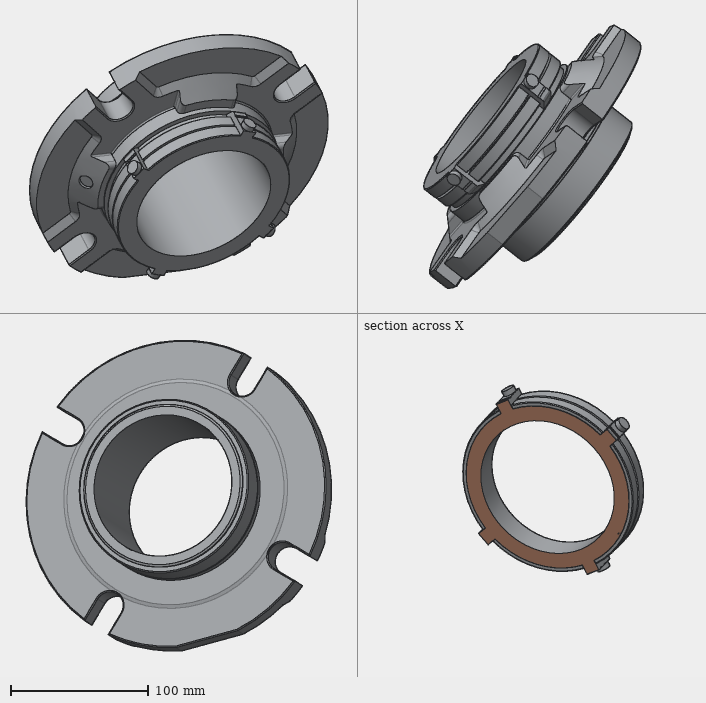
import cadquery as cq
import math


cutter_reach = 228.2
plane_tolerance = 0.02

bore_dia = 104.7
tip_dia = 120.7
tip_length = 2.0
tip_chamfer = 1.5
tip_chamfer_length = 0.7
sleeve_dia = 129.0
sleeve_chamfer = 1.0
snap_groove_dia = 125.7
snap_groove_start = 25.5
snap_groove_width = 1.8

flange_dia = 228.2
flange_front = 33.8
flange_thickness = 15.3
flange_back = flange_front + flange_thickness
flange_chamfer = 1.0
raised_face_dia = 170.2
raised_face_inner_dia = 165.0
raised_face_height = 0.7
rim_flat_angle = 167.9
rim_flat_span = 24.2

slot_count = 4
slot_pitch = 360 / slot_count
first_slot_angle = 32.2
slot_width = 21.0
slot_cap_radius = slot_width / 2
slot_center_radius = 95.2
slot_chamfer = 1.0
chamfer_angle = 45

platform_height = 5.2
platform_back = flange_back + platform_height
hub_radius = 89.5
pad_width = 59.8
pad_corner_radius = 1.8

body_dia = 136.0
body_back = 66.9
foot_fillet = 1.1
lug_angles = [first_slot_angle + (index - 0.5) * slot_pitch for index in range(slot_count)]
lug_width = 45.6
lug_back = 66.0
short_lug_back = 63.0
lug_corner_radius = 3.9
short_lug_index = 0
port_lug_index = 1
port_dia = 11.0
port_depth = 2.3
port_x = 57.7

neck_dia = 128.5
front_ring_dia = 134.5
back_ring_dia = 134.9
collar_front = 71.7
collar_back = 92.6
collar_chamfer = 0.7
collar_groove_dia = 122.5
collar_groove_start = 81.0
collar_groove_width = 1.8

clip_angles = (45, 150, 225, 330)
clip_width = 11.0
clip_outer_radius = 71.9
clip_root_radius = 61.5
clip_nose_start = 71.2
clip_nose_radius = 1.8
clip_groove_start = 75.5
clip_groove_width = 1.5
clip_groove_depth = 0.5
screw_dia = 10.0
screw_x = collar_back - screw_dia / 2
screw_outer_radius = 76.0


def turn(shape, angle):
    """Rotate a shape made at the +Z direction to its angle around the part axis."""
    return shape.rotate((0, 0, 0), (1, 0, 0), angle)


def tube(start, end, dia):
    """Solid cylinder on the part axis between two X positions."""
    return cq.Workplane("YZ").workplane(offset=start).circle(dia / 2).extrude(end - start)


def ring_groove(start, width, floor_dia):
    """Cutter for a square groove around the part axis."""
    outer = tube(start, start + width, 2 * cutter_reach)
    return outer.cut(tube(start, start + width, floor_dia))


def make_sleeve():
    tip = tube(0, tip_length, tip_dia).faces("<X").chamfer(tip_chamfer_length, tip_chamfer)
    barrel = tube(tip_length, flange_front, sleeve_dia).faces("<X").chamfer(sleeve_chamfer)
    groove = ring_groove(snap_groove_start, snap_groove_width, snap_groove_dia)
    return tip.union(barrel).cut(groove)


def make_rim_envelope():
    """Outline that trims the flange and its pads: a chamfered cylinder with one flat on the rim."""
    envelope = tube(flange_front, collar_back, flange_dia)
    flat_distance = flange_dia / 2 * math.cos(math.radians(rim_flat_span / 2))
    flat_cutter = (
        cq.Workplane("XY")
        .workplane(offset=flat_distance)
        .rect(2 * cutter_reach, flange_dia)
        .extrude(cutter_reach)
    )
    envelope = envelope.cut(turn(flat_cutter, rim_flat_angle))
    return envelope.faces("<X").chamfer(flange_chamfer)


def make_raised_face():
    edge_run = (raised_face_dia - raised_face_inner_dia) / 2
    face = tube(flange_front - raised_face_height, flange_back, raised_face_dia)
    return face.faces("<X").chamfer(raised_face_height, edge_run)


def make_lug_block(back):
    """Block at +Z that bounds one lug, with rounded back corners."""
    length = back - platform_back
    return (
        cq.Workplane("XY")
        .center(platform_back + length / 2, 0)
        .rect(length, lug_width)
        .extrude(hub_radius)
        .edges("|Z and >X")
        .fillet(lug_corner_radius)
    )


def make_hub():
    """Hub, pads and lugs: one bevelled prism sunk into the flange.

    Between the lugs it is cut back to the platform face.
    """
    base = (flange_front + flange_back) / 2
    prism = tube(base, lug_back, 2 * hub_radius)
    pad_bar = (
        cq.Workplane("YZ", origin=(base, 0, 0))
        .rect(pad_width, 2 * cutter_reach)
        .extrude(lug_back - base)
    )
    for index in range(slot_count // 2):
        prism = prism.union(turn(pad_bar, first_slot_angle + index * slot_pitch))
    inner_corners = cq.selectors.BoxSelector(
        (0, -flange_dia / 2, -flange_dia / 2), (collar_back, flange_dia / 2, flange_dia / 2)
    )
    prism = prism.edges("|X").edges(inner_corners).fillet(pad_corner_radius)
    prism = prism.faces(">X").chamfer(lug_back - flange_back)

    waste = tube(platform_back, collar_back, 3 * cutter_reach)
    for index, lug_angle in enumerate(lug_angles):
        block = make_lug_block(short_lug_back if index == short_lug_index else lug_back)
        waste = waste.cut(turn(block, lug_angle))
    return prism.cut(waste)


def make_slot_cutter():
    """Bolt slot at +Z, widened at both faces by the edge chamfers."""

    def slot_outline(x_position, half_width):
        return (
            cq.Workplane("YZ", origin=(x_position, 0, 0))
            .moveTo(-half_width, cutter_reach)
            .lineTo(-half_width, slot_center_radius)
            .threePointArc((0, slot_center_radius - half_width), (half_width, slot_center_radius))
            .lineTo(half_width, cutter_reach)
            .close()
        )

    wide = slot_cap_radius + slot_chamfer
    front = flange_front - raised_face_height
    cutter = slot_outline(front, slot_cap_radius).extrude(platform_back - front)
    front_chamfer = slot_outline(flange_front, wide).extrude(slot_chamfer, taper=chamfer_angle)
    back_chamfer = slot_outline(platform_back, wide).extrude(-slot_chamfer, taper=chamfer_angle)
    return cutter.union(front_chamfer).union(back_chamfer)


def add_body(hub):
    """Join the gland body to the hub and fillet the feet of the body and the lugs."""
    joined = hub.union(tube(flange_front, body_back, body_dia))
    platform_edges = joined.edges(
        cq.selectors.BoxSelector(
            (platform_back - plane_tolerance, -hub_radius, -hub_radius),
            (platform_back + plane_tolerance, hub_radius, hub_radius),
        )
    )
    rim_limit = hub_radius - platform_height - 2 * foot_fillet
    feet = platform_edges.filter(lambda edge: math.hypot(edge.Center().y, edge.Center().z) < rim_limit)
    return feet.fillet(foot_fillet)


def make_port():
    """Blind port at +Z, drilled square to the cone of its lug."""
    mouth = cq.Vector(port_x, 0, hub_radius - (port_x - flange_back))
    outward = cq.Vector(1, 0, 1).normalized()
    drill = cq.Solid.makeCylinder(port_dia / 2, 2 * port_depth, mouth - outward * port_depth, outward)
    return cq.Workplane(drill)


def make_collar():
    neck = tube(body_back, collar_back, neck_dia)
    front_ring = tube(collar_front, collar_groove_start, front_ring_dia).faces("<X").chamfer(collar_chamfer)
    back_ring = tube(collar_groove_start, collar_back, back_ring_dia).faces(">X").chamfer(collar_chamfer)
    groove = ring_groove(collar_groove_start, collar_groove_width, collar_groove_dia)
    return neck.union(front_ring).union(back_ring).cut(groove)


def make_clip():
    """Setting clip at +Z with a sloping nose, a shallow cross groove and a screw."""
    groove_end = clip_groove_start + clip_groove_width
    groove_floor = clip_outer_radius - clip_groove_depth
    clip = (
        cq.Workplane("XZ")
        .moveTo(body_back, clip_root_radius)
        .lineTo(body_back, neck_dia / 2)
        .lineTo(clip_nose_start, clip_outer_radius)
        .lineTo(clip_groove_start, clip_outer_radius)
        .lineTo(clip_groove_start, groove_floor)
        .lineTo(groove_end, groove_floor)
        .lineTo(groove_end, clip_outer_radius)
        .lineTo(collar_back, clip_outer_radius)
        .lineTo(collar_back, clip_root_radius)
        .close()
        .extrude(clip_width / 2, both=True)
    )
    nose_corner = cq.selectors.NearestToPointSelector((clip_nose_start, 0, clip_outer_radius))
    clip = clip.edges(nose_corner).fillet(clip_nose_radius)
    screw = (
        cq.Workplane("XY", origin=(screw_x, 0, clip_root_radius))
        .circle(screw_dia / 2)
        .extrude(screw_outer_radius - clip_root_radius)
    )
    return clip.union(screw)


flange_blank = tube(flange_front, flange_back, 2 * flange_dia)
gland = flange_blank.union(add_body(make_hub())).intersect(make_rim_envelope())
gland = gland.union(make_raised_face())
slot_cutter = make_slot_cutter()
for index in range(slot_count):
    gland = gland.cut(turn(slot_cutter, first_slot_angle + index * slot_pitch))
gland = gland.cut(turn(make_port(), lug_angles[port_lug_index]))

collar = make_collar()
for clip_angle in clip_angles:
    collar = collar.union(turn(make_clip(), clip_angle))

bore = tube(0, collar_back, bore_dia)
result = gland.union(make_sleeve()).union(collar).cut(bore)